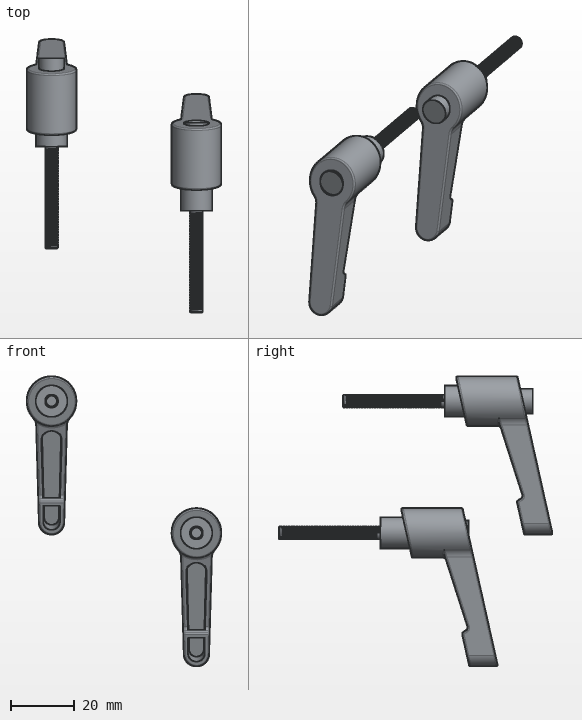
import cadquery as cq
import math

LEVER_SPACING = (45.35, -17.2, -41.3)

LEAN = math.radians(12.6)
HUB_DIAMETER = 15.6
HUB_LENGTH = 19.4
EDGE_ROUND = 0.5

TIP_Z = -41.8
TIP_ROUND_Z = -38.3
ARM_HALF_WIDTH_TOP = 5.1
ARM_HALF_WIDTH_TIP = 4.0
ARM_ROOT_Z = -8.6
ARM_ROOT_DEPTH = 8.8
NOTCH_Z = -30.0
NOTCH_DEPTH = 6.7
PAD_Z = -31.4
PAD_DEPTH = 9.0
NOTCH_ROUND = 1.0
PAD_ROUND = 0.6
NECK_ROUND = 3.3
THROAT_ROUND = 0.7

BACK_WALL = 3.3
POCKET_DRAFT = 4
POCKET_TOP_Z = -8.5
POCKET_HALF_WIDTH_TOP = 2.9
POCKET_BOTTOM_Z = -30.3
POCKET_HALF_WIDTH_BOTTOM = 2.45
PAD_POCKET_TOP_Z = -32.0
PAD_POCKET_BOTTOM_Z = -38.7
PAD_POCKET_HALF_WIDTH = 2.3

SPINDLE_SHIFTS = (0, 2.9)
BUTTON_DIAMETER = 7.9
BUTTON_END_Y = 3.1
COLLAR_DIAMETER = 9.9
COLLAR_END_Y = -24.5
STUD_DIAMETER = 4.1
STUD_LENGTH = 31.9
STUD_CHAMFER = 0.4
THREAD_PITCH = 0.8
THREAD_DEPTH = 0.41

REACH = 54.5
NEAR = 0.2


def back_y(z):
    """Y of the leaning back face at height z."""
    return -z * math.tan(LEAN)


def make_hub():
    radius = HUB_DIAMETER / 2
    slab = (
        cq.Workplane("YZ")
        .polyline([
            (back_y(radius), radius),
            (back_y(-radius), -radius),
            (back_y(-radius) - HUB_LENGTH, -radius),
            (back_y(radius) - HUB_LENGTH, radius),
        ])
        .close()
        .extrude(radius, both=True)
    )
    return cq.Workplane("XZ").circle(radius).extrude(REACH, both=True).intersect(slab)


def make_arm():
    front_y = {
        "root": back_y(ARM_ROOT_Z) - ARM_ROOT_DEPTH,
        "notch": back_y(NOTCH_Z) - NOTCH_DEPTH,
        "pad": back_y(PAD_Z) - PAD_DEPTH,
    }
    rail_slope = (front_y["notch"] - front_y["root"]) / (NOTCH_Z - ARM_ROOT_Z)
    side = (
        cq.Workplane("YZ")
        .polyline([
            (0, 0),
            (back_y(TIP_Z), TIP_Z),
            (back_y(TIP_Z) - PAD_DEPTH, TIP_Z),
            (front_y["pad"], PAD_Z),
            (front_y["notch"], NOTCH_Z),
            (front_y["root"] - rail_slope * ARM_ROOT_Z, 0),
        ])
        .close()
        .extrude(HUB_DIAMETER, both=True)
    )
    outline = (
        cq.Workplane("XZ")
        .moveTo(-ARM_HALF_WIDTH_TOP, 0)
        .lineTo(-ARM_HALF_WIDTH_TIP, TIP_ROUND_Z)
        .threePointArc((0, TIP_Z), (ARM_HALF_WIDTH_TIP, TIP_ROUND_Z))
        .lineTo(ARM_HALF_WIDTH_TOP, 0)
        .close()
        .extrude(REACH, both=True)
    )
    return side.intersect(outline)


def pocket_plane():
    """Plane of the pocket floors: parallel to the back face, facing the front of the arm."""
    inward = (0, -math.cos(LEAN), -math.sin(LEAN))
    origin = tuple(BACK_WALL * component for component in inward)
    return cq.Plane(origin=origin, xDir=(1, 0, 0), normal=inward)


def along_floor(z):
    """Distance along the pocket floor plane that lies at height z."""
    return (z + BACK_WALL * math.sin(LEAN)) / math.cos(LEAN)


def make_rail_pocket():
    """Long pocket with a round top, drafted sides and a level sill at its lower end."""
    top = along_floor(POCKET_TOP_Z)
    bottom = along_floor(POCKET_BOTTOM_Z)
    shoulder = top - POCKET_HALF_WIDTH_TOP
    pocket = (
        cq.Workplane(pocket_plane())
        .moveTo(-POCKET_HALF_WIDTH_BOTTOM, bottom)
        .lineTo(POCKET_HALF_WIDTH_BOTTOM, bottom)
        .lineTo(POCKET_HALF_WIDTH_TOP, shoulder)
        .threePointArc((0, top), (-POCKET_HALF_WIDTH_TOP, shoulder))
        .close()
        .extrude(ARM_ROOT_DEPTH, taper=-POCKET_DRAFT)
    )
    above_sill = cq.Workplane("XY", origin=(0, 0, POCKET_BOTTOM_Z)).rect(REACH, REACH).extrude(REACH)
    return pocket.intersect(above_sill)


def make_pad_pocket():
    top = along_floor(PAD_POCKET_TOP_Z)
    bottom = along_floor(PAD_POCKET_BOTTOM_Z)
    shoulder = bottom + PAD_POCKET_HALF_WIDTH
    return (
        cq.Workplane(pocket_plane())
        .moveTo(PAD_POCKET_HALF_WIDTH, shoulder)
        .lineTo(PAD_POCKET_HALF_WIDTH, top)
        .lineTo(-PAD_POCKET_HALF_WIDTH, top)
        .lineTo(-PAD_POCKET_HALF_WIDTH, shoulder)
        .threePointArc((0, bottom), (PAD_POCKET_HALF_WIDTH, shoulder))
        .close()
        .extrude(PAD_DEPTH, taper=-POCKET_DRAFT)
    )


def edges_in(body, low, high):
    """Edges of the body whose centres lie between two corner points."""
    return body.edges(cq.selectors.BoxSelector(low, high))


def edges_near(body, x, y, z):
    """Edges of the body whose centres lie close to one point."""
    return edges_in(body, (x - NEAR, y - NEAR, z - NEAR), (x + NEAR, y + NEAR, z + NEAR))


def round_neck(handle):
    """Blend the arm flanks into the hub."""
    half_width = ARM_HALF_WIDTH_TOP
    neck = edges_in(handle, (-half_width, -4.1, -6.4), (half_width, -1.8, -5.45))
    return neck.fillet(NECK_ROUND)


def round_notch(handle):
    """Round the step between the rail face and the pad."""
    handle = edges_near(handle, 0, back_y(NOTCH_Z) - NOTCH_DEPTH, NOTCH_Z).fillet(NOTCH_ROUND)
    return edges_near(handle, 0, back_y(PAD_Z) - PAD_DEPTH, PAD_Z).fillet(PAD_ROUND)


def round_outer_edges(handle):
    """Round the front rim of the arm, the whole back rim and the front rim of the hub."""
    half_width = ARM_HALF_WIDTH_TOP
    left = cq.selectors.BoxSelector((-half_width, -ARM_ROOT_DEPTH, TIP_Z), (-NEAR, 1.8, ARM_ROOT_Z))
    right = cq.selectors.BoxSelector((NEAR, -ARM_ROOT_DEPTH, TIP_Z), (half_width, 1.8, ARM_ROOT_Z))
    handle = handle.edges(left + right).fillet(EDGE_ROUND)
    back = cq.selectors.DirectionMinMaxSelector(cq.Vector(0, math.cos(LEAN), math.sin(LEAN)))
    handle = handle.faces(back).edges().fillet(EDGE_ROUND)
    radius = HUB_DIAMETER / 2
    hub_front = back_y(-radius) - HUB_LENGTH
    low = (-radius, back_y(radius) - HUB_LENGTH, -radius)
    return edges_in(handle, low, (radius, hub_front, radius)).fillet(EDGE_ROUND)


def make_handle():
    handle = make_hub().union(make_arm())
    handle = round_neck(handle)
    handle = round_notch(handle)
    handle = round_outer_edges(handle)
    handle = edges_in(handle, (-3.6, -8.2, -9.1), (3.6, -6.2, -6.4)).fillet(THROAT_ROUND)
    return handle.cut(make_rail_pocket()).cut(make_pad_pocket())


def make_stud():
    """Threaded stud standing on Z = 0, with one helical groove that stops short of both ends."""
    radius = STUD_DIAMETER / 2
    groove_top = radius + 0.045
    half_groove = THREAD_PITCH * 0.45
    helix = cq.Wire.makeHelix(THREAD_PITCH, STUD_LENGTH - 2 * THREAD_PITCH, radius)
    groove = (
        cq.Workplane("XZ")
        .polyline([(radius - THREAD_DEPTH, 0), (groove_top, half_groove), (groove_top, -half_groove)])
        .close()
        .sweep(cq.Workplane(helix), isFrenet=True)
        .translate((0, 0, THREAD_PITCH))
    )
    rod = cq.Workplane("XY").circle(radius).extrude(STUD_LENGTH).faces(">Z").chamfer(STUD_CHAMFER)
    return rod.cut(groove)


def rod(diameter, start_y, end_y):
    """Cylinder on the lever axis between two Y positions."""
    plane = cq.Workplane("XZ", origin=(0, start_y, 0))
    return plane.circle(diameter / 2).extrude(start_y - end_y)


def make_lever(handle, stud, spindle_shift):
    """One clamping lever: handle, button, collar and stud in a single solid."""
    button_end = BUTTON_END_Y - spindle_shift
    collar_end = COLLAR_END_Y - spindle_shift
    middle = -HUB_LENGTH / 2
    button_bore = rod(BUTTON_DIAMETER, REACH, button_end)
    placed_stud = stud.rotate((0, 0, 0), (1, 0, 0), 90).translate((0, collar_end, 0))
    return (
        handle.cut(button_bore)
        .union(rod(BUTTON_DIAMETER, button_end, middle))
        .union(rod(COLLAR_DIAMETER, middle, collar_end))
        .union(placed_stud)
    )


handle = make_handle()
stud = make_stud()
levers = []
for index, spindle_shift in enumerate(SPINDLE_SHIFTS):
    offset = tuple(index * spacing for spacing in LEVER_SPACING)
    levers.append(make_lever(handle, stud, spindle_shift).translate(offset))

result = cq.Compound.makeCompound([lever.val() for lever in levers])